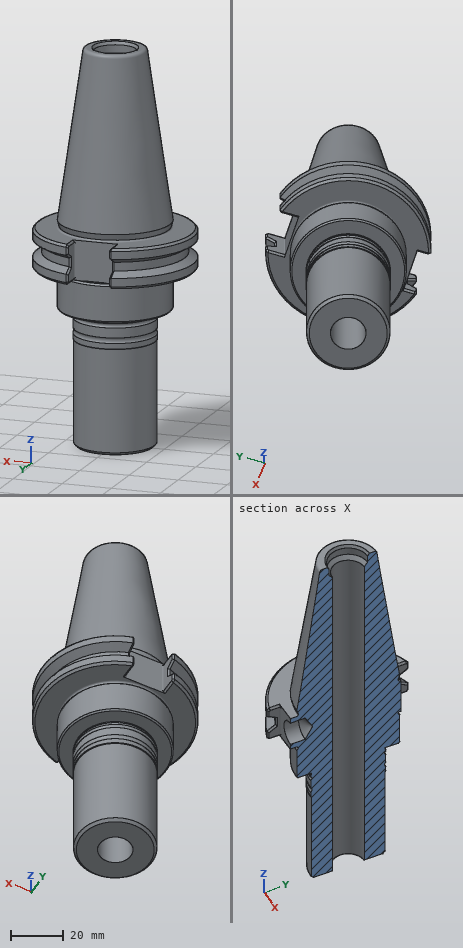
import cadquery as cq
import math

total_height = 157.8
taper_length = 68.3
taper_ratio = 7 / 24
gauge_radius = 44.5 / 2
gauge_z = total_height - taper_length
tip_radius = gauge_radius - taper_length * taper_ratio / 2
tip_fillet = 1.5

flange_radius = 31.7
flange_top = gauge_z - 3.2
flange_thickness = 16.0
flange_bottom = flange_top - flange_thickness
flange_edge = 1.0
groove_z = gauge_z - 11
groove_root_radius = 28.3
groove_root_half_height = 1.7
groove_wall_angle = 30
groove_wall_height = (flange_radius - groove_root_radius) * math.tan(math.radians(groove_wall_angle))
groove_mouth_half_height = groove_root_half_height + groove_wall_height

relief_depth = 0.6
relief_radius = gauge_radius - relief_depth
relief_fillet = 0.8
lower_relief_length = 1.5

collar_radius = gauge_radius
collar_bottom = 54.3
collar_edge = 0.6
nose_radius = 32.0 / 2
nose_edge = 1.1
ring_radius = 32.5 / 2
ring_edge = ring_radius - nose_radius
ring_spans = [(42.1, 44.8), (46.5, 51.0), (52.2, 53.7)]
ring_groove_depth = 0.24

bore_radius = 13.5 / 2
counterbore_radius = 16.5 / 2
mouth_radius = 18.0 / 2
mouth_angle = 60
mouth_depth = (mouth_radius - counterbore_radius) / math.tan(math.radians(mouth_angle / 2))
seat_top_depth = 4.4
seat_bottom_depth = 6.2

slot_width = 16.7
slot_edge_chamfer = 0.8
slot_corner_fillet = 0.3
front_slot_y = -25.0
back_slot_y = 22.7
dimple_radius = 10.7 / 2
dimple_depth = 6.3
drill_point_angle = 118


def revolve(profile):
    return profile.close().revolve(360, (0, 0), (0, 1))


def make_body():
    profile = (
        cq.Workplane("XZ")
        .lineTo(nose_radius - nose_edge, 0)
        .lineTo(nose_radius, nose_edge)
        .lineTo(nose_radius, collar_bottom)
        .lineTo(collar_radius - collar_edge, collar_bottom)
        .lineTo(collar_radius, collar_bottom + collar_edge)
        .lineTo(collar_radius, flange_bottom - lower_relief_length)
        .lineTo(relief_radius, flange_bottom - relief_fillet)
        .radiusArc((relief_radius + relief_fillet, flange_bottom), relief_fillet)
        .lineTo(relief_radius + relief_fillet, flange_top)
        .radiusArc((relief_radius, flange_top + relief_fillet), relief_fillet)
        .lineTo(gauge_radius, gauge_z)
        .lineTo(tip_radius, total_height)
        .lineTo(0, total_height)
    )
    return revolve(profile).faces(">Z").edges().fillet(tip_fillet)


def make_flange():
    profile = (
        cq.Workplane("XZ")
        .moveTo(0, flange_bottom)
        .lineTo(flange_radius - flange_edge, flange_bottom)
        .lineTo(flange_radius, flange_bottom + flange_edge)
        .lineTo(flange_radius, groove_z - groove_mouth_half_height)
        .lineTo(groove_root_radius, groove_z - groove_root_half_height)
        .lineTo(groove_root_radius, groove_z + groove_root_half_height)
        .lineTo(flange_radius, groove_z + groove_mouth_half_height)
        .lineTo(flange_radius, flange_top - flange_edge)
        .lineTo(flange_radius - flange_edge, flange_top)
        .lineTo(0, flange_top)
    )
    return revolve(profile)


def make_slot(floor_y):
    """Open slot from a flat floor out past the flange rim."""
    outer_y = math.copysign(flange_radius, floor_y)
    return (
        cq.Workplane("XY")
        .workplane(offset=flange_bottom)
        .center(0, floor_y + outer_y / 2)
        .rect(slot_width, flange_radius)
        .extrude(flange_thickness)
    )


def cut_drive_slots(flange):
    for floor_y in (front_slot_y, back_slot_y):
        flange = flange.cut(make_slot(floor_y))

    corner_limit = abs(front_slot_y) + 0.2
    flange = (
        flange.faces("|X").edges()
        .filter(lambda edge: abs(edge.Center().y) > corner_limit)
        .chamfer(slot_edge_chamfer)
    )
    return (
        flange.faces("|X").edges("|Z")
        .filter(lambda edge: abs(edge.Center().y) < corner_limit)
        .fillet(slot_corner_fillet)
    )


def make_ring(bottom, top):
    profile = (
        cq.Workplane("XZ")
        .moveTo(0, bottom)
        .lineTo(nose_radius, bottom)
        .lineTo(ring_radius, bottom + ring_edge)
        .lineTo(ring_radius, top - ring_edge)
        .lineTo(nose_radius, top)
        .lineTo(0, top)
    )
    return revolve(profile)


def make_ring_groove(bottom, top):
    """Shallow round-bottomed groove between two rings."""
    profile = (
        cq.Workplane("XZ")
        .moveTo(nose_radius, bottom)
        .threePointArc((nose_radius - ring_groove_depth, (bottom + top) / 2), (nose_radius, top))
    )
    return revolve(profile)


def make_bore():
    seat_top = total_height - seat_top_depth
    profile = (
        cq.Workplane("XZ")
        .lineTo(bore_radius, 0)
        .lineTo(bore_radius, total_height - seat_bottom_depth)
        .lineTo(counterbore_radius, seat_top)
        .lineTo(counterbore_radius, total_height - mouth_depth)
        .lineTo(mouth_radius, total_height)
        .lineTo(0, total_height)
    )
    return revolve(profile)


def make_dimple():
    point_depth = dimple_radius / math.tan(math.radians(drill_point_angle / 2))
    profile = (
        cq.Workplane("XY", origin=(0, front_slot_y, groove_z))
        .lineTo(dimple_radius, 0)
        .lineTo(dimple_radius, dimple_depth)
        .lineTo(0, dimple_depth + point_depth)
    )
    return revolve(profile)


result = make_body().union(cut_drive_slots(make_flange()))
for ring_bottom, ring_top in ring_spans:
    result = result.union(make_ring(ring_bottom, ring_top))
for lower_ring, upper_ring in zip(ring_spans, ring_spans[1:]):
    result = result.cut(make_ring_groove(lower_ring[1], upper_ring[0]))
result = result.cut(make_bore()).cut(make_dimple())